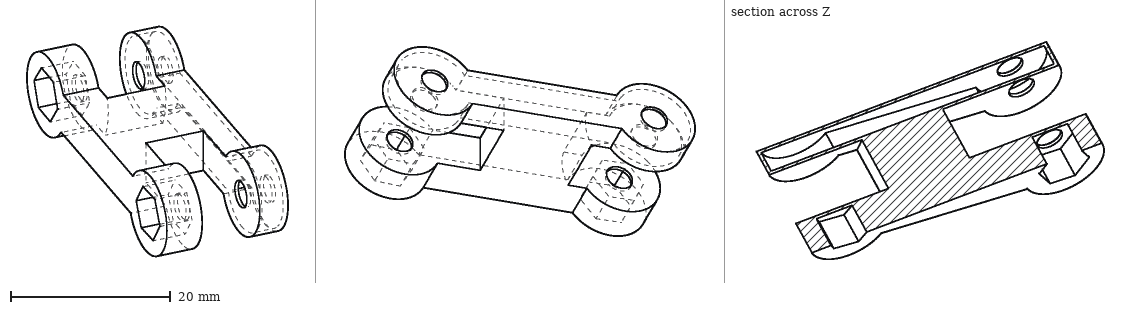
import cadquery as cq
import math

length = 40.55
width = 16.85
height = 14.65

lug_diameter = 11.0
pivot_x = (length - lug_diameter) / 2
pivot_z = (height - lug_diameter) / 2
left_pivot = (-pivot_x, pivot_z)
right_pivot = (pivot_x, -pivot_z)

bar_vertical_thickness = 5.5

front_lug_thickness = 4.9
back_lug_thickness = 3.95
slot_front = -width / 2 + front_lug_thickness
slot_back = width / 2 - back_lug_thickness
left_clearance_radius = 7.8
right_slot_start = 3.98

bolt_diameter = 3.5
hex_corner_diameter = 6.9
wall_thickness = 0.5
chamber_diameter = lug_diameter - 2 * wall_thickness
channel_vertical_size = bar_vertical_thickness - 2 * wall_thickness
left_hex_angle = -8.5
right_hex_angle = -4.5


def along_y(y_start):
    """XZ workplane at y_start; negative extrusion runs toward +Y."""
    return cq.Workplane(cq.Plane(origin=(0, y_start, 0), xDir=(1, 0, 0), normal=(0, -1, 0)))


def cylinder(center, diameter, y_start, y_end):
    return along_y(y_start).center(*center).circle(diameter / 2).extrude(y_start - y_end)


def box(x_start, x_end, y_start, y_end):
    size_x = x_end - x_start
    size_y = y_end - y_start
    return cq.Workplane("XY").box(size_x, size_y, height, centered=(False, False, True)).translate(
        (x_start, y_start, 0)
    )


def hex_pocket(center, angle, y_start, y_end):
    radius = hex_corner_diameter / 2
    corners = []
    for index in range(6):
        turn = math.radians(angle + 60 * index)
        corners.append((center[0] + radius * math.cos(turn), center[1] + radius * math.sin(turn)))
    return along_y(y_start).polyline(corners).close().extrude(y_start - y_end)


def sloping_bar(vertical_size, y_start, y_end):
    half = vertical_size / 2
    left_x, left_z = left_pivot
    right_x, right_z = right_pivot
    outline = [
        (left_x, left_z - half),
        (right_x, right_z - half),
        (right_x, right_z + half),
        (left_x, left_z + half),
    ]
    return along_y(y_start).polyline(outline).close().extrude(y_start - y_end)


body = sloping_bar(bar_vertical_thickness, -width / 2, width / 2)
for pivot in (left_pivot, right_pivot):
    body = body.union(cylinder(pivot, lug_diameter, -width / 2, width / 2))

body = body.cut(cylinder(left_pivot, 2 * left_clearance_radius, slot_front, slot_back))
body = body.cut(box(right_slot_start, length / 2, slot_front, slot_back))

hollow_start = slot_back + wall_thickness
hollow_end = width / 2 - wall_thickness
body = body.cut(sloping_bar(channel_vertical_size, hollow_start, hollow_end))

for pivot, angle in ((left_pivot, left_hex_angle), (right_pivot, right_hex_angle)):
    body = body.cut(cylinder(pivot, bolt_diameter, -width / 2, width / 2))
    body = body.cut(hex_pocket(pivot, angle, -width / 2, slot_front - wall_thickness))
    body = body.cut(cylinder(pivot, chamber_diameter, hollow_start, hollow_end))

result = body